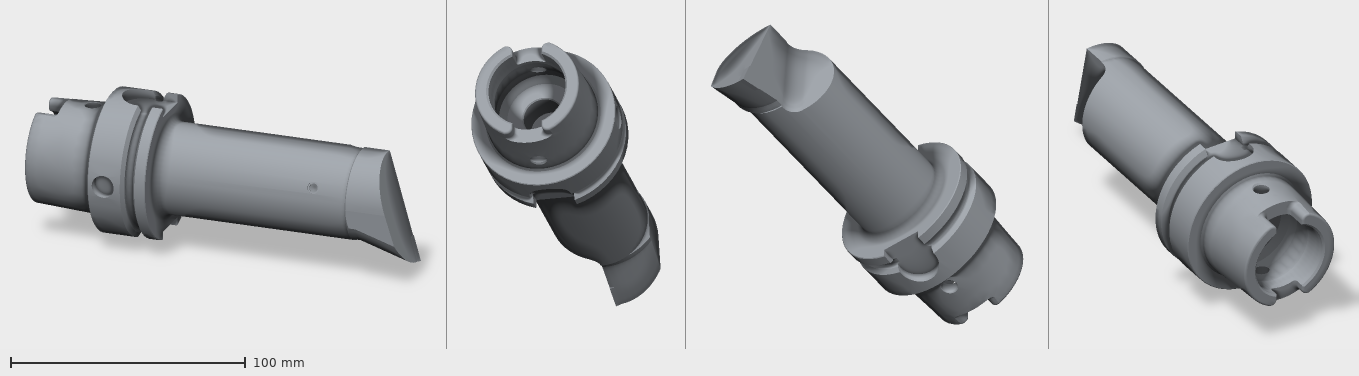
import cadquery as cq
import math

LENGTH = 171.9

MOUTH_R = 22.7
TAPER_END_R = 24.2
TAPER_END_X = 29.7
MOUTH_ROUND = 1.0
FACE_RECESS_CHAMFER = 0.9

FLANGE_X = 31.8
FLANGE_END_X = 58.0
FLANGE_R = 31.5
FLANGE_CHAMFER = 0.3
GROOVE_X = 46.5
GROOVE_WIDTH = 6.5
GROOVE_WALL_X = 51.5
GROOVE_R = 27.3
GROOVE_FLANK_ANGLE = 30.0
GROOVE_CHAMFER_WIDTH = 1.4
GROOVE_CHAMFER_R = 29.4
GROOVE_ROUND = 0.9

BAR_DIAMETER = 40.0
BAR_R = BAR_DIAMETER / 2
BAR_END_X = 144.5
BAR_ROOT_ROUND = 3.0

BORE_R = 16.8
BORE_CHAMFER = 0.9
RECESS_X = 12.4
RECESS_FULL_X = 23.9
RECESS_END_X = 29.2
RECESS_R = 18.7
BORE_FLOOR_X = 31.8
BORE_FLOOR_R = 15.6
THREAD_R = 8.6
THREAD_CHAMFER = 0.5
THREAD_END_X = 46.4
DRILL_R = 4.1
DRILL_END_X = 68.8
DRILL_TIP_ANGLE = 118.0

DRIVE_HALF_WIDTH = 6.4
DRIVE_WALL_Z = 17.9
DRIVE_SHOULDER_R = 2.5
DRIVE_FLOOR_ROUND = 1.5
DRIVE_DEPTH_TOP = 10.3
DRIVE_DEPTH_BOTTOM = 6.0

CROSS_HOLE_X = 22.9
CROSS_HOLE_R = 3.5
CROSS_HOLE_CHAMFER = 0.5
CHIP_HOLE_X = 38.8
CHIP_HOLE_R = 5.0
CHIP_HOLE_DEPTH = 4.6

KEYWAY_X = 36.6
KEYWAY_HALF_WIDTH = 9.0
KEYWAY_FLOOR_Z = 26.3

HEAD_DIAMETER = 41.0
HEAD_R = HEAD_DIAMETER / 2
LEAD_ANGLE = 17.5
TIP_Z = -27.2
TIP_OVERHANG = 0.3
UNDERSIDE_R = 24.4
NECK_UNDERSIDE_Z = -19.3
RAKE_TILT = 3.8
GULLET_WALL_X = 138.5
GULLET_WALL_ANGLE = 15.0
GULLET_ROUND = 6.9

INSERT_EDGE = 11.7
INSERT_ANGLE = 55.0
INSERT_THICKNESS = 4.0
INSERT_RELIEF = 7.0

SCREW_X = 129.8
SCREW_R = 2.5
SCREW_FACE_R = 19.6
SCREW_LENGTH = 6.9
SCREW_POLAR_ANGLE = 22.0
SOCKET_R = 1.9
SOCKET_DEPTH = 0.5
SOCKET_TIP_DEPTH = 1.2

CLEAR = 103.1

LEAD_SLOPE = math.tan(math.radians(LEAD_ANGLE))
ARC_MIDDLE = math.sqrt(0.5)


def turned(profile):
    """Solid turned about the X axis from a closed (x, radius) outline."""
    return profile.close().revolve(360, (0, 0, 0), (1, 0, 0))


def turned_blank():
    """Taper, flange with its gripper groove, and bar."""
    groove_end_x = GROOVE_X + GROOVE_WIDTH
    flank_depth = (groove_end_x - GROOVE_WALL_X) / math.tan(math.radians(GROOVE_FLANK_ANGLE))
    c = FLANGE_CHAMFER
    root_bend = BAR_ROOT_ROUND * (1 - ARC_MIDDLE)
    outline = (
        cq.Workplane("XZ")
        .lineTo(0, MOUTH_R)
        .lineTo(TAPER_END_X, TAPER_END_R)
        .lineTo(FLANGE_X - FACE_RECESS_CHAMFER, TAPER_END_R)
        .lineTo(FLANGE_X, TAPER_END_R + FACE_RECESS_CHAMFER)
        .lineTo(FLANGE_X, FLANGE_R - c)
        .lineTo(FLANGE_X + c, FLANGE_R)
        .lineTo(GROOVE_X, FLANGE_R)
        .lineTo(GROOVE_X + GROOVE_CHAMFER_WIDTH, GROOVE_CHAMFER_R)
        .lineTo(GROOVE_X + GROOVE_CHAMFER_WIDTH, GROOVE_R)
        .lineTo(GROOVE_WALL_X, GROOVE_R)
        .lineTo(GROOVE_WALL_X, FLANGE_R - flank_depth)
        .lineTo(groove_end_x, FLANGE_R)
        .lineTo(FLANGE_END_X - c, FLANGE_R)
        .lineTo(FLANGE_END_X, FLANGE_R - c)
        .lineTo(FLANGE_END_X, BAR_R + BAR_ROOT_ROUND)
        .threePointArc(
            (FLANGE_END_X + root_bend, BAR_R + root_bend),
            (FLANGE_END_X + BAR_ROOT_ROUND, BAR_R),
        )
        .lineTo(BAR_END_X, BAR_R)
        .lineTo(BAR_END_X, 0)
    )
    blank = turned(outline)
    floor_edges = [
        edge
        for edge in blank.edges("%CIRCLE").vals()
        if math.isclose(edge.radius(), GROOVE_R)
    ]
    return blank.newObject(floor_edges).fillet(GROOVE_ROUND)


def bore():
    """Stepped bore: clamping bore, coolant thread and drilled hole with a conical tip."""
    drill_tip = DRILL_R / math.tan(math.radians(DRILL_TIP_ANGLE / 2))
    return turned(
        cq.Workplane("XZ")
        .lineTo(0, BORE_R)
        .lineTo(RECESS_X, BORE_R)
        .lineTo(RECESS_FULL_X, RECESS_R)
        .lineTo(RECESS_END_X, RECESS_R)
        .lineTo(BORE_FLOOR_X, BORE_FLOOR_R)
        .lineTo(BORE_FLOOR_X, THREAD_R + THREAD_CHAMFER)
        .lineTo(BORE_FLOOR_X + THREAD_CHAMFER, THREAD_R)
        .lineTo(THREAD_END_X, THREAD_R)
        .lineTo(THREAD_END_X, DRILL_R)
        .lineTo(DRILL_END_X, DRILL_R)
        .lineTo(DRILL_END_X + drill_tip, 0)
    )


def drive_slot(depth):
    """Cutter for the drive slot on the +Z side: parallel walls that flare outwards."""
    w = DRIVE_HALF_WIDTH
    r = DRIVE_SHOULDER_R
    top = DRIVE_WALL_Z + r
    bend = r * (1 - ARC_MIDDLE)
    cutter = (
        cq.Workplane("YZ")
        .moveTo(-w, 0)
        .lineTo(-w, DRIVE_WALL_Z)
        .threePointArc((-w - bend, top - bend), (-w - r, top))
        .lineTo(-FLANGE_R, top)
        .lineTo(-FLANGE_R, FLANGE_R)
        .lineTo(FLANGE_R, FLANGE_R)
        .lineTo(FLANGE_R, top)
        .lineTo(w + r, top)
        .threePointArc((w + bend, top - bend), (w, DRIVE_WALL_Z))
        .lineTo(w, 0)
        .close()
        .extrude(depth)
    )
    return cutter.faces(">X").edges().fillet(DRIVE_FLOOR_ROUND)


def cross_hole():
    """Chamfered hole through both walls of the taper."""
    wall_r = MOUTH_R + (TAPER_END_R - MOUTH_R) * CROSS_HOLE_X / TAPER_END_X
    hole = (
        cq.Workplane("XY", origin=(CROSS_HOLE_X, 0, -FLANGE_R))
        .circle(CROSS_HOLE_R)
        .extrude(2 * FLANGE_R)
    )
    rim_r = CROSS_HOLE_R + CROSS_HOLE_CHAMFER
    for side in (1, -1):
        countersink = cq.Solid.makeCone(
            CROSS_HOLE_R,
            rim_r + CROSS_HOLE_CHAMFER,
            2 * CROSS_HOLE_CHAMFER,
            pnt=cq.Vector(CROSS_HOLE_X, 0, side * (wall_r - CROSS_HOLE_CHAMFER)),
            dir=cq.Vector(0, 0, side),
        )
        hole = hole.union(cq.Workplane(obj=countersink))
    return hole


def chip_hole():
    """Flat-bottomed round pocket in the -Y side of the flange."""
    return (
        cq.Workplane("XZ", origin=(CHIP_HOLE_X, CHIP_HOLE_DEPTH - FLANGE_R, 0))
        .circle(CHIP_HOLE_R)
        .extrude(CLEAR)
    )


def keyway(side):
    """Flat across the flange rim with a round end towards the taper."""
    arc_x = KEYWAY_X + KEYWAY_HALF_WIDTH
    return (
        cq.Workplane("XY", origin=(0, 0, side * KEYWAY_FLOOR_Z))
        .moveTo(FLANGE_END_X, -KEYWAY_HALF_WIDTH)
        .lineTo(arc_x, -KEYWAY_HALF_WIDTH)
        .threePointArc((KEYWAY_X, 0), (arc_x, KEYWAY_HALF_WIDTH))
        .lineTo(FLANGE_END_X, KEYWAY_HALF_WIDTH)
        .close()
        .extrude(side * FLANGE_R)
    )


def trough(bottom, direction):
    """Endless upright U section along a direction, with its round bottom through a point."""
    section = cq.Workplane(cq.Plane(origin=bottom, xDir=(0, 1, 0), normal=direction))
    return (
        section.moveTo(-UNDERSIDE_R, CLEAR)
        .lineTo(-UNDERSIDE_R, UNDERSIDE_R)
        .threePointArc((0, 0), (UNDERSIDE_R, UNDERSIDE_R))
        .lineTo(UNDERSIDE_R, CLEAR)
        .close()
        .extrude(CLEAR, both=True)
    )


def head():
    """Cutting head: round above, straight on the -Y side and hooked down to the tip."""
    reach = LENGTH - BAR_END_X
    start = cq.Workplane("YZ", origin=(BAR_END_X, 0, 0))
    straight_side = start.center(0, -CLEAR / 2).rect(2 * HEAD_R, CLEAR).extrude(reach)
    body = start.circle(HEAD_R).extrude(reach).union(straight_side)

    slope = math.radians(LEAD_ANGLE)
    hook = trough((LENGTH, 0, TIP_Z + TIP_OVERHANG), (math.cos(slope), 0, -math.sin(slope)))
    neck = trough((BAR_END_X, 0, NECK_UNDERSIDE_Z), (1, 0, 0))
    body = body.intersect(hook.union(neck))

    cone = turned(
        cq.Workplane("XZ")
        .moveTo(BAR_END_X, 0)
        .lineTo(BAR_END_X, BAR_R)
        .lineTo(LENGTH, BAR_R + reach)
        .lineTo(LENGTH, 0)
    )
    return body.intersect(cone).cut(end_cut())


def end_cut():
    """Space in front of the sloping end face."""
    tip_x = LENGTH - TIP_OVERHANG
    return (
        cq.Workplane("XZ", origin=(0, CLEAR / 2, 0))
        .moveTo(tip_x, TIP_Z)
        .lineTo(tip_x - (CLEAR - TIP_Z) * LEAD_SLOPE, CLEAR)
        .lineTo(tip_x + CLEAR, CLEAR)
        .lineTo(tip_x + CLEAR, -CLEAR)
        .lineTo(tip_x + (CLEAR + TIP_Z) * LEAD_SLOPE, -CLEAR)
        .close()
        .extrude(CLEAR)
    )


def tilted_to_rake(body):
    """Turn a body about the X-parallel line through the tip into the rake plane."""
    return body.rotate((0, 0, TIP_Z), (1, 0, TIP_Z), -RAKE_TILT)


def gullet():
    """Space above the rake face, ending in a rounded sloping wall across the bar."""
    wall_run = CLEAR * math.tan(math.radians(GULLET_WALL_ANGLE))
    space = (
        cq.Workplane("XY", origin=(0, 0, -CLEAR))
        .moveTo(GULLET_WALL_X, 0)
        .lineTo(2 * LENGTH, 0)
        .lineTo(2 * LENGTH, CLEAR)
        .lineTo(GULLET_WALL_X - wall_run, CLEAR)
        .close()
        .extrude(2 * CLEAR)
    )
    root = cq.selectors.NearestToPointSelector((GULLET_WALL_X, 0, 0))
    return tilted_to_rake(space.edges("|Z").edges(root).fillet(GULLET_ROUND))


def insert_body():
    """Rhombic insert with relieved sides, its top in the rake plane."""
    along_end = math.radians(90 + LEAD_ANGLE)
    along_bottom = along_end + math.radians(INSERT_ANGLE)
    a = cq.Vector(math.cos(along_end), math.sin(along_end)) * INSERT_EDGE
    b = cq.Vector(math.cos(along_bottom), math.sin(along_bottom)) * INSERT_EDGE
    middle = (a + b) * 0.5
    inset = INSERT_THICKNESS * math.tan(math.radians(INSERT_RELIEF))
    edge_distance = INSERT_EDGE * math.sin(math.radians(INSERT_ANGLE)) / 2
    base_scale = 1 - inset / edge_distance
    corners = [cq.Vector(), a, a + b, b]
    base = [middle + (corner - middle) * base_scale for corner in corners]
    flat = (
        cq.Workplane("XZ", origin=(LENGTH, 0, TIP_Z))
        .polyline([corner.toTuple()[:2] for corner in corners])
        .close()
        .workplane(offset=INSERT_THICKNESS)
        .polyline([corner.toTuple()[:2] for corner in base])
        .close()
        .loft()
    )
    return tilted_to_rake(flat)


def placed_on_bar(body):
    """Move a body whose axis is +Z at the origin onto the screw's radial axis."""
    return body.rotate((0, 0, 0), (1, 0, 0), 90 - SCREW_POLAR_ANGLE).translate((SCREW_X, 0, 0))


def screw_hole():
    """Radial hole in the bar that holds the grub screw."""
    base = SCREW_FACE_R - SCREW_LENGTH
    return placed_on_bar(
        cq.Workplane("XY", origin=(0, 0, base)).circle(SCREW_R).extrude(SCREW_LENGTH + SCREW_R)
    )


def grub_screw():
    """Screw sunk just below the bar surface, with a round socket that ends in a cone."""
    body = (
        cq.Workplane("XZ")
        .moveTo(0, SCREW_FACE_R - SCREW_LENGTH)
        .lineTo(SCREW_R, SCREW_FACE_R - SCREW_LENGTH)
        .lineTo(SCREW_R, SCREW_FACE_R)
        .lineTo(SOCKET_R, SCREW_FACE_R)
        .lineTo(SOCKET_R, SCREW_FACE_R - SOCKET_DEPTH)
        .lineTo(0, SCREW_FACE_R - SOCKET_TIP_DEPTH)
        .close()
        .revolve(360, (0, 0, 0), (0, 1, 0))
    )
    return placed_on_bar(body)


def rounded_mouth(body):
    """Round the outer rim of the mouth and the slot edges, then chamfer the bore edge."""
    rim = [
        edge
        for edge in body.faces("<X").edges().vals()
        if edge.geomType() != "CIRCLE" or abs(edge.radius() - BORE_R) > MOUTH_ROUND
    ]
    body = body.newObject(rim).fillet(MOUTH_ROUND)
    chamfer = cq.Solid.makeCone(BORE_R + BORE_CHAMFER, BORE_R, BORE_CHAMFER, dir=cq.Vector(1, 0, 0))
    return body.cut(cq.Workplane(obj=chamfer))


def holder_body():
    """One-piece tool holder with all its holes, slots and recesses."""
    body = turned_blank().union(head()).cut(bore())
    body = body.cut(drive_slot(DRIVE_DEPTH_TOP))
    body = body.cut(drive_slot(DRIVE_DEPTH_BOTTOM).rotate((0, 0, 0), (1, 0, 0), 180))
    body = rounded_mouth(body)
    body = body.cut(cross_hole()).cut(chip_hole())
    for side in (1, -1):
        body = body.cut(keyway(side))
    return body.cut(gullet()).cut(insert_body()).cut(screw_hole())


holder = holder_body().solids()
insert = insert_body()
screw = grub_screw()
result = cq.Compound.makeCompound([holder.val(), insert.val(), screw.val()])